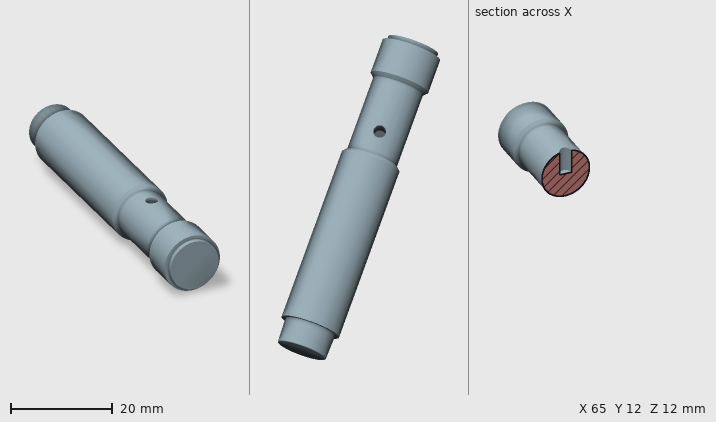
import cadquery as cq

total_length = 65.0
sleeve_diameter = 12.0
sleeve_radius = sleeve_diameter / 2
neck_radius = 5.2

sleeve_start = 5.0
sleeve_end = 63.95
neck_start = 41.0
neck_end = 56.2

shoulder_step = sleeve_radius - neck_radius

hole_x = 45.5
hole_diameter = 2.5

front_tip_radius = 5.0
front_base_radius = 5.2
front_tip_fillet = 0.2

rear_plug_radius = neck_radius


def revolve_about_x(profile):
    """Turn a closed XY profile into a solid of revolution about the X axis."""
    return profile.close().revolve(360, (0, 0, 0), (1, 0, 0))


def make_sleeve():
    """Main bar with a reduced neck, two conical shoulders and a blind radial hole."""
    profile = (
        cq.Workplane("XY")
        .moveTo(sleeve_start, 0)
        .lineTo(sleeve_start, sleeve_radius)
        .lineTo(neck_start - shoulder_step, sleeve_radius)
        .lineTo(neck_start, neck_radius)
        .lineTo(neck_end, neck_radius)
        .lineTo(neck_end + shoulder_step, sleeve_radius)
        .lineTo(sleeve_end, sleeve_radius)
        .lineTo(sleeve_end, 0)
    )
    hole = (
        cq.Workplane("XY")
        .center(hole_x, 0)
        .circle(hole_diameter / 2)
        .extrude(sleeve_radius)
    )
    return revolve_about_x(profile).cut(hole)


def make_front_plug():
    """Slightly tapered plug against the front face, rounded at its tip."""
    profile = (
        cq.Workplane("XY")
        .lineTo(0, front_tip_radius)
        .lineTo(sleeve_start, front_base_radius)
        .lineTo(sleeve_start, 0)
    )
    return revolve_about_x(profile).faces("<X").edges().fillet(front_tip_fillet)


def make_rear_plug():
    """Short plain disc against the rear face."""
    return (
        cq.Workplane("YZ", origin=(sleeve_end, 0, 0))
        .circle(rear_plug_radius)
        .extrude(total_length - sleeve_end)
    )


sleeve = make_sleeve()
front_plug = make_front_plug()
rear_plug = make_rear_plug()

result = cq.Compound.makeCompound([sleeve.val(), front_plug.val(), rear_plug.val()])